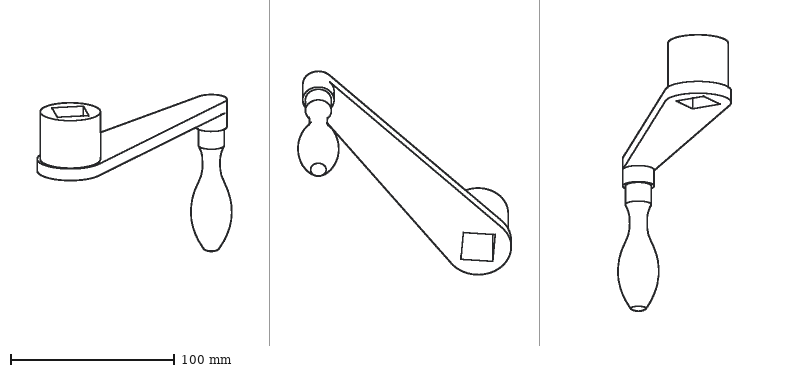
import cadquery as cq
import math

length_overall = 183.3
hub_diameter = 37.0
hub_height = 30.5
square_side = 19.6
arm_thickness = 7.5
arm_hub_radius = 20.3
boss_diameter = 19.2
arm_tip_radius = boss_diameter / 2

collar_diameter = 16.0
collar_radius = collar_diameter / 2
neck_radius = 5.5
waist_radius = 8.0
grip_radius = 12.6
grip_end_radius = 4.8

boss_depth = 17.8
collar_depth = 29.7
neck_start_depth = 38.9
neck_end_depth = 44.0
waist_depth = 53.7
belly_depth = 72.5
grip_end_depth = 96.0
handle_depth = 97.5

axis_distance = length_overall - arm_hub_radius - grip_radius


def make_arm():
    """Tapered plate: two round ends joined by their common tangents."""
    tangent_sin = (arm_hub_radius - arm_tip_radius) / axis_distance
    tangent_cos = math.sqrt(1 - tangent_sin**2)
    hub_x = arm_hub_radius * tangent_cos
    hub_y = arm_hub_radius * tangent_sin
    tip_x = arm_tip_radius * tangent_cos
    tip_y = axis_distance + arm_tip_radius * tangent_sin
    return (
        cq.Workplane("XY")
        .moveTo(-hub_x, hub_y)
        .threePointArc((0, -arm_hub_radius), (hub_x, hub_y))
        .lineTo(tip_x, tip_y)
        .threePointArc((0, axis_distance + arm_tip_radius), (-tip_x, tip_y))
        .close()
        .extrude(-arm_thickness)
    )


def make_hub():
    return cq.Workplane("XY").circle(hub_diameter / 2).extrude(hub_height)


def make_square_hole():
    """Square through hole with its corners on the X and Y axes."""
    return (
        cq.Workplane("XY")
        .workplane(offset=-arm_thickness)
        .rect(square_side, square_side)
        .extrude(arm_thickness + hub_height)
        .rotate((0, 0, 0), (0, 0, 1), 45)
    )


def make_boss():
    """Round boss below the arm tip, flush with the round end of the arm."""
    return (
        cq.Workplane("XY")
        .center(0, axis_distance)
        .circle(boss_diameter / 2)
        .extrude(-boss_depth)
    )


def make_handle():
    """Collar, neck and bulging grip, revolved about the handle axis."""
    along_axis = (0, -1)
    neck_points = [
        (neck_radius, -neck_start_depth),
        (neck_radius, -neck_end_depth),
        (waist_radius, -waist_depth),
    ]
    grip_points = [
        (grip_radius, -belly_depth),
        (grip_end_radius, -grip_end_depth),
    ]

    dome_height = handle_depth - grip_end_depth
    dome_radius = (grip_end_radius**2 + dome_height**2) / (2 * dome_height)
    dome_half_angle = math.asin(grip_end_radius / dome_radius) / 2
    end_dome_middle = (
        dome_radius * math.sin(dome_half_angle),
        -handle_depth + dome_radius * (1 - math.cos(dome_half_angle)),
    )
    return (
        cq.Workplane("XZ")
        .moveTo(0, -boss_depth)
        .lineTo(collar_radius, -boss_depth)
        .lineTo(collar_radius, -collar_depth)
        .spline(neck_points, tangents=[None, along_axis, along_axis, None], includeCurrent=True)
        .spline(grip_points, tangents=[None, along_axis, None], includeCurrent=True)
        .threePointArc(end_dome_middle, (0, -handle_depth))
        .close()
        .revolve(360, (0, 0, 0), (0, 1, 0))
        .translate((0, axis_distance, 0))
    )


result = (
    make_arm()
    .union(make_hub())
    .union(make_boss())
    .union(make_handle())
    .cut(make_square_hole())
)